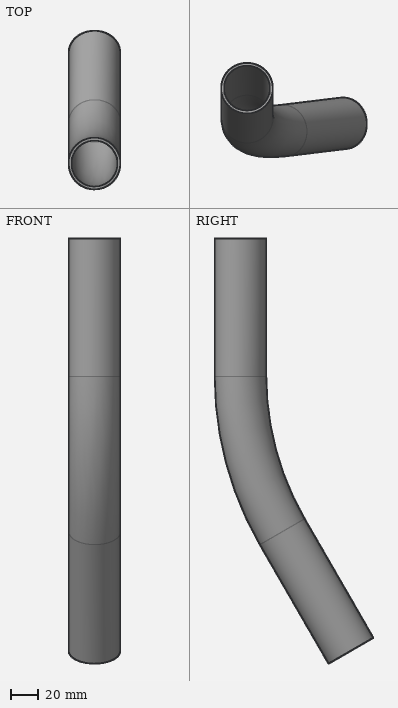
import cadquery as cq
import math

overall_height = 313.5
outer_diameter = 38.2
inner_diameter = 34.0
leg_length = 101.5
bend_angle = 30.0

bend_cos = math.cos(math.radians(bend_angle))
bend_sin = math.sin(math.radians(bend_angle))

legs_height = leg_length * (1 + bend_cos)
rim_drop = outer_diameter / 2 * bend_sin
bend_radius = (overall_height - legs_height - rim_drop) / bend_sin


def bend_point(angle):
    """Centreline point (Y, Z) at an angle in degrees from the start of the bend."""
    turn = math.radians(angle)
    y = bend_radius * (1 - math.cos(turn))
    z = -leg_length - bend_radius * math.sin(turn)
    return y, z


bend_end_y, bend_end_z = bend_point(bend_angle)
lower_end = (bend_end_y + leg_length * bend_sin, bend_end_z - leg_length * bend_cos)
centreline = (
    cq.Workplane("YZ")
    .moveTo(0, 0)
    .lineTo(0, -leg_length)
    .threePointArc(bend_point(bend_angle / 2), bend_point(bend_angle))
    .lineTo(*lower_end)
)

result = (
    cq.Workplane("XY")
    .circle(outer_diameter / 2)
    .circle(inner_diameter / 2)
    .sweep(centreline)
)